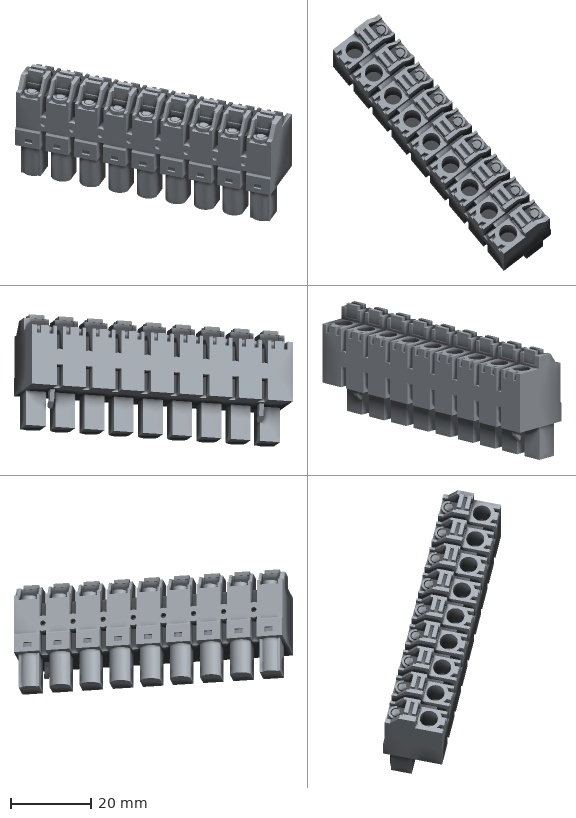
import cadquery as cq


pole_count = 9
length = 67.9
end_margin = 3.45
pitch = (length - 2 * end_margin) / (pole_count - 1)
gap_width = 1.6
pole_centres = [(i - (pole_count - 1) / 2) * pitch for i in range(pole_count)]
gap_centres = [x + pitch / 2 for x in pole_centres[:-1]]

depth = 15.1
front_y = 0.4
base_z = 8.75
shoulder_z = 23.9
tower_top_z = 27.0
tower_back_y = 8.2
slope_top_y = 4.1
slope_foot_y = 1.75
skirt_top_z = 13.3
skirt_chamfer_top_z = 13.8

web_top_z = 22.4
slot_depth = 3.05
slot_web_front_y = front_y + slot_depth
slot_web_back_y = depth - slot_depth
hub_z = 16.1
hub_radius = 2.05
hub_hole_radius = 0.7
hub_hole_depth = 2.05

pocket_width = 4.6
pocket_back_y = 4.75
pocket_floor_z = 22.7
boss_y = 2.5
boss_top_z = 23.8
ring_outer_radius = 1.8
ring_inner_radius = 1.3
post_radius = 1.0
post_back_y = 3.3

entry_y = 10.9
entry_radius = 2.25
entry_depth = 6.8
collar_radius = 3.25
groove_centre_offset = 1.6
groove_width = 1.0
groove_depth = 2.05

window_width = 2.05
window_height = 1.2
window_z = 10.6
window_depth = 0.55

plug_width = 5.15
plug_front_y = 1.15
plug_back_y = 7.1
plug_front_radius = 2.9
end_plug_corner_y = 1.8

hook_width = 1.15
hook_inner_x = gap_centres[-1]

lever_width = 3.9
lever_seat_z = 24.5
lever_front_y = 4.95
lever_back_y = 8.0
lever_top_z = 28.05
lever_groove_y = 6.5
lever_groove_radius = 0.55
lever_groove_width = 0.95
lever_relief = 0.15


def box(x, width, y_range, z_range):
    """Box centred on x, between two Y values and two Z values."""
    y0, y1 = y_range
    z0, z1 = z_range
    block = cq.Workplane("XY").box(width, y1 - y0, z1 - z0, centered=(True, False, False))
    return block.translate((x, y0, z0))


def cylinder_z(x, y, radius, z_range):
    """Upright cylinder between two Z values."""
    z0, z1 = z_range
    return cq.Workplane("XY").center(x, y).circle(radius).extrude(z1 - z0).translate((0, 0, z0))


def cylinder_y(x, z, radius, y_range):
    """Cylinder along Y between two Y values."""
    y0, y1 = y_range
    return cq.Workplane("XZ").center(x, z).circle(radius).extrude(y0 - y1).translate((0, y0, 0))


def make_block():
    """Full-length block with the side profile of a pole."""
    profile = [
        (0, base_z),
        (0, skirt_top_z),
        (front_y, skirt_chamfer_top_z),
        (front_y, shoulder_z),
        (slope_foot_y, shoulder_z),
        (slope_top_y, tower_top_z),
        (tower_back_y, tower_top_z),
        (tower_back_y, shoulder_z),
        (depth, shoulder_z),
        (depth, base_z),
    ]
    return cq.Workplane("YZ").polyline(profile).close().extrude(length / 2, both=True)


def make_gap_cut(x):
    """Space between two poles; a web and a hub on each side of the web stay."""
    gap = box(x, gap_width, (0, depth), (base_z, lever_top_z))
    web = box(x, gap_width, (slot_web_front_y, slot_web_back_y), (base_z, web_top_z))
    hub = cylinder_y(x, hub_z, hub_radius, (front_y, depth))
    return gap.cut(web).cut(hub)


def make_pocket_cut(x):
    """Front pocket of a tower, less the half ring and the post on its floor."""
    pocket = box(x, pocket_width, (0, pocket_back_y), (pocket_floor_z, lever_top_z))
    boss_heights = (pocket_floor_z, boss_top_z)
    ring = cylinder_z(x, boss_y, ring_outer_radius, boss_heights)
    ring = ring.cut(cylinder_z(x, boss_y, ring_inner_radius, boss_heights))
    ring = ring.intersect(box(x, pocket_width, (0, boss_y), boss_heights))
    post = cylinder_z(x, boss_y, post_radius, boss_heights)
    post = post.union(box(x, 2 * post_radius, (boss_y, post_back_y), boss_heights))
    return pocket.cut(ring).cut(post)


def make_lever_slot_cut(x):
    """Slot from the pocket through the back of the tower, where the lever sits."""
    return box(x, lever_width, (pocket_back_y, tower_back_y), (lever_seat_z, tower_top_z))


def make_entry_cut(x):
    """Round wire entry and the two grooves that run from the back face to its collar."""
    entry = cylinder_z(x, entry_y, entry_radius, (shoulder_z - entry_depth, shoulder_z))
    groove_heights = (shoulder_z - groove_depth, shoulder_z)
    collar = cylinder_z(x, entry_y, collar_radius, groove_heights)
    for side in (-1, 1):
        groove = box(x + side * groove_centre_offset, groove_width, (entry_y, depth), groove_heights)
        entry = entry.union(groove.cut(collar))
    return entry


def make_window_cut(x):
    """Shallow rectangular recess in the front of a skirt."""
    half_height = window_height / 2
    return box(x, window_width, (0, window_depth), (window_z - half_height, window_z + half_height))


def make_plug(x, is_end):
    """Plug with flat sides and a rounded front; an end plug also has two square front corners."""
    heights = (0, base_z)
    arc_y = plug_front_y + plug_front_radius
    plug = cylinder_z(x, arc_y, plug_front_radius, heights)
    plug = plug.intersect(box(x, plug_width, (plug_front_y, arc_y), heights))
    flat_front_y = end_plug_corner_y if is_end else arc_y
    return plug.union(box(x, plug_width, (flat_front_y, plug_back_y), heights))


def make_hook(side):
    """Latch hook below the housing, at the left (-1) or right (+1) end."""
    profile = [
        (8.55, base_z),
        (8.9, 7.55),
        (8.9, 5.9),
        (8.15, 5.35),
        (8.6, 4.3),
        (10.05, 5.7),
        (10.7, base_z),
    ]
    hook = cq.Workplane("YZ").polyline(profile).close().extrude(side * hook_width)
    return hook.translate((side * hook_inner_x, 0, 0))


def make_hub_hole_cut(x):
    """Blind hole in the front of a hub."""
    return cylinder_y(x, hub_z, hub_hole_radius, (front_y, front_y + hub_hole_depth))


def make_housing():
    """One-piece housing with all poles, plugs and hooks."""
    housing = make_block()
    for x in gap_centres:
        housing = housing.cut(make_gap_cut(x))
        housing = housing.cut(make_hub_hole_cut(x))
    for x in pole_centres:
        housing = housing.cut(make_pocket_cut(x))
        housing = housing.cut(make_lever_slot_cut(x))
        housing = housing.cut(make_entry_cut(x))
        housing = housing.cut(make_window_cut(x))
        housing = housing.union(make_plug(x, x in (pole_centres[0], pole_centres[-1])))
    for side in (-1, 1):
        housing = housing.union(make_hook(side))
    return housing


def make_lever(x):
    """Push lever: a stem in the tower slot and a slightly deeper head split by a groove.

    The groove opens into a slightly wider round bore at the height of the tower top.
    """
    stem_y = (lever_front_y + lever_relief, lever_back_y - lever_relief)
    stem = box(x, lever_width, stem_y, (lever_seat_z, tower_top_z))
    head = box(x, lever_width, (lever_front_y, lever_back_y), (tower_top_z, lever_top_z))
    groove = cq.Workplane("YZ").center(lever_groove_y, tower_top_z).circle(lever_groove_radius)
    groove = groove.extrude(lever_width / 2, both=True).translate((x, 0, 0))
    half_width = lever_groove_width / 2
    groove_y = (lever_groove_y - half_width, lever_groove_y + half_width)
    groove = groove.union(box(x, lever_width, groove_y, (tower_top_z, lever_top_z)))
    return stem.union(head).cut(groove)


housing = make_housing()
levers = [make_lever(x) for x in pole_centres]
result = cq.Compound.makeCompound([housing.solids().val(), *[lever.solids().val() for lever in levers]])